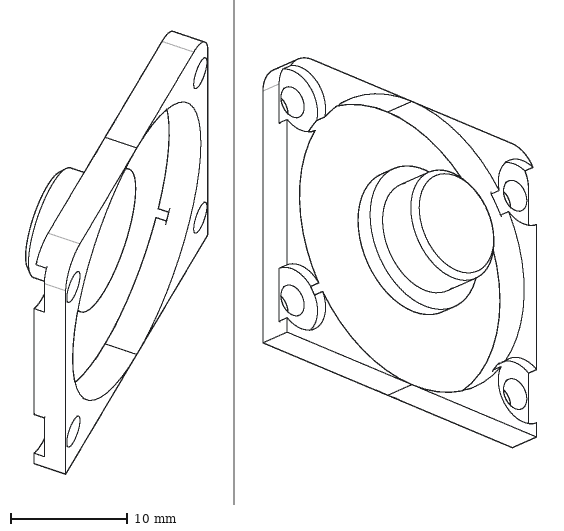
import cadquery as cq
import math

frame_width = 30.0
frame_height = 27.0
frame_thickness = 3.0
corner_radius = 3.0
bore_radius = frame_height / 2

hole_diameter = 2.8
hole_spacing_y = 26.75
hole_spacing_z = 18.9
hole_center_z = -0.15
counterbore_diameter = 6.0
counterbore_depth = 1.0

flange_diameter = 13.0
flange_thickness = 1.5
boss_diameter = 10.0
boss_length = 4.0
boss_chamfer = 0.5



def make_frame_half(side):
    """Frame half on the +Y (side = 1) or -Y (side = -1) side of the bore."""
    outer_y = side * frame_width / 2
    top_z = frame_height / 2
    corner_center_y = outer_y - side * corner_radius
    corner_center_z = top_z - corner_radius
    diagonal = corner_radius * math.sqrt(0.5)

    half = (
        cq.Workplane("YZ")
        .moveTo(0, top_z)
        .lineTo(corner_center_y, top_z)
        .threePointArc(
            (corner_center_y + side * diagonal, corner_center_z + diagonal),
            (outer_y, corner_center_z),
        )
        .lineTo(outer_y, -top_z)
        .lineTo(0, -top_z)
        .threePointArc((side * bore_radius, 0), (0, top_z))
        .close()
        .extrude(frame_thickness)
    )

    hole_points = [
        (side * hole_spacing_y / 2, hole_center_z + end * hole_spacing_z / 2)
        for end in (-1, 1)
    ]
    hole_layout = cq.Workplane("YZ").pushPoints(hole_points)
    holes = hole_layout.circle(hole_diameter / 2).extrude(frame_thickness)
    counterbores = hole_layout.circle(counterbore_diameter / 2).extrude(counterbore_depth)
    return half.cut(holes).cut(counterbores)


def make_plug():
    """Flange with a smaller chamfered boss on its front."""
    flange = cq.Workplane("YZ").circle(flange_diameter / 2).extrude(-flange_thickness)
    boss = (
        cq.Workplane("YZ", origin=(-flange_thickness, 0, 0))
        .circle(boss_diameter / 2)
        .extrude(-boss_length)
        .faces("<X")
        .chamfer(boss_chamfer)
    )
    return flange.union(boss)


frame_halves = [make_frame_half(side) for side in (-1, 1)]
plug = make_plug()

result = cq.Compound.makeCompound([*(half.val() for half in frame_halves), plug.val()])